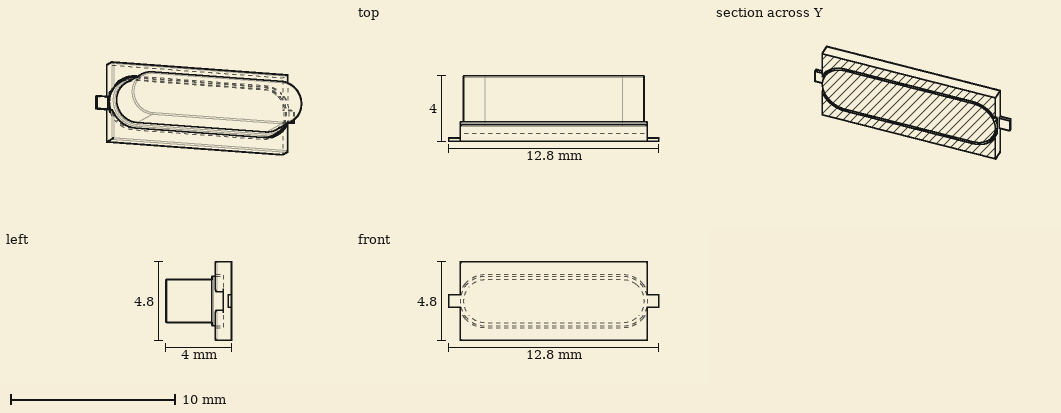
import cadquery as cq

overall_length = 12.8
overall_depth = 4.0

base_length = 11.4
base_height = 4.8
base_depth = 1.0

lead_height = 0.78
lead_depth = 0.2

round_end_spacing = 8.37
flange_height = base_length - round_end_spacing
flange_top = 1.2
can_height = 2.62

pocket_clearance = 0.1
pocket_floor = 0.5
pocket_height = flange_height + 2 * pocket_clearance

edge_radius = 0.09


def rounded_prism(height, y_start, y_end):
    """Prism along +Y with full-round ends about the shared end centres."""
    return (
        cq.Workplane("XZ", origin=(0, y_start, 0))
        .slot2D(round_end_spacing + height, height)
        .extrude(y_start - y_end)
    )


def make_base():
    """Plate with a pocket that breaks out through both ends, and rounded rear edges."""
    plate = cq.Workplane("XY").box(base_length, base_depth, base_height, centered=(True, False, True))
    pocket = rounded_prism(pocket_height, pocket_floor, base_depth)
    return plate.faces(">Y").edges().fillet(edge_radius).cut(pocket)


def make_flange():
    flange = rounded_prism(flange_height, pocket_floor, flange_top)
    return flange.faces(">Y").edges().fillet(edge_radius)


def make_can():
    can = rounded_prism(can_height, pocket_floor, overall_depth)
    return can.faces(">Y").edges().fillet(edge_radius)


def make_leads():
    """One strip through the base forms both leads."""
    return cq.Workplane("XY").box(overall_length, lead_depth, lead_height, centered=(True, False, True))


result = make_base().union(make_leads()).union(make_flange()).union(make_can())